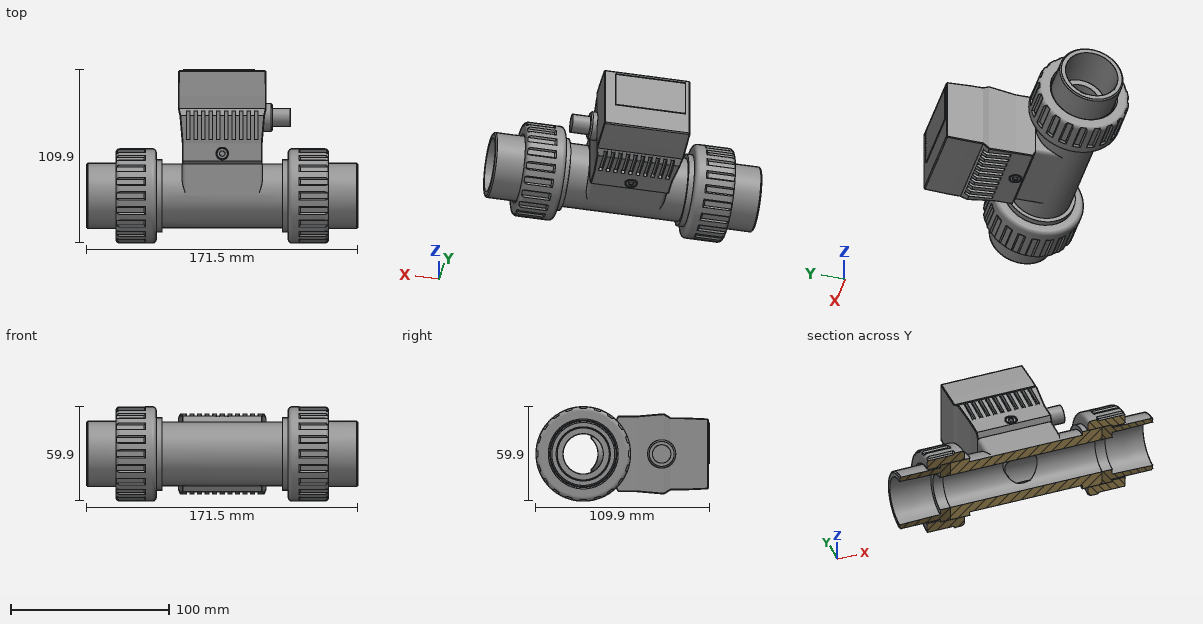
import cadquery as cq


TOTAL_LENGTH = 171.5
BORE_RADIUS = 12.7
PIPE_RADIUS = 20.2
COLLAR_RADIUS = 23.0
COLLAR_START = 38.1
JOINT_PLANE = 51.5

NUT_DIAMETER = 59.9
NUT_RADIUS = NUT_DIAMETER / 2
NUT_INNER_FACE = 41.7
NUT_OUTER_FACE = 67.3
NUT_FILLET = 2.7
NUT_HOLE_RADIUS = 21.3
NUT_HOLE_CHAMFER = 0.9

SPIGOT_RADIUS = 20.8
SPIGOT_CHAMFER = 0.9
SPIGOT_FLANGE_END = 58.3
SOCKET_MOUTH_RADIUS = 17.2
SOCKET_FLOOR_RADIUS = 16.5

GRIP_COUNT = 20
GRIP_INNER_END = 48.4
GRIP_DEPTH = 1.2
GRIP_TOP_WIDTH = 5.5
GRIP_FLOOR_WIDTH = 3.5

SADDLE_HALF_LENGTH = 25.4
SADDLE_TOP = 20.2
SADDLE_FILLET = 2.7
SENSOR_RADIUS = 11.0
SENSOR_TIP = 5.0
SENSOR_HOLLOW_RADIUS = 13.5
SENSOR_HOLLOW_DEPTH = 9.3

HOUSING_BACK = 79.3
HOUSING_CHAMFER = 0.7
HOUSING_EDGE_BREAK = 0.5
NECK_HALF_WIDTH = 25.2
NECK_HALF_HEIGHT = 23.8
SHOULDER_HALF_HEIGHT = 25.4
HOUSING_SECTIONS = [
    (SADDLE_TOP, NECK_HALF_WIDTH, PIPE_RADIUS),
    (22.1, NECK_HALF_WIDTH, NECK_HALF_HEIGHT),
    (33.1, NECK_HALF_WIDTH, NECK_HALF_HEIGHT),
    (51.0, 26.8, SHOULDER_HALF_HEIGHT),
    (55.2, 27.8, 22.8),
    (62.8, 27.8, 22.8),
    (HOUSING_BACK, 27.6, 22.1),
]

VENT_COUNT = 10
VENT_PITCH = 4.8
VENT_WIDTH = 2.2
VENT_START = 35.7
VENT_END = 53.7
VENT_FLOOR = 21.5

SCREW_Y = 26.8
SCREW_RECESS_RADIUS = 4.0
SCREW_HEAD_RADIUS = 3.3
SCREW_SOCKET_RADIUS = 1.7
SCREW_RECESS_DEPTH = 0.9

LABEL_THICKNESS = 0.6
LABEL_X = (-24.5, 20.5)
LABEL_Z = (-6.0, 19.5)

GLAND_Y = 49.6
GLAND_SEAT = 24.0
GLAND_FLANGE_RADIUS = 9.0
GLAND_FLANGE_END = 31.7
GLAND_CHAMFER = 1.0
CABLE_RADIUS = 5.8
CABLE_END = 43.0


def x_cylinder(radius, x_start, x_end, y=0.0):
    """Cylinder along X at the given Y."""
    return cq.Workplane("YZ", origin=(x_start, y, 0)).circle(radius).extrude(x_end - x_start)


def block(x_range, y_range, z_range):
    """Box given by its limits along each axis."""
    size = [high - low for low, high in (x_range, y_range, z_range)]
    corner = (x_range[0], y_range[0], z_range[0])
    return cq.Workplane("XY").box(*size, centered=False).translate(corner)


def make_sensor_tip():
    """Round stub reaching down into the bore, hollowed by a cylinder along X."""
    root_y = (BORE_RADIUS + PIPE_RADIUS) / 2
    tip = cq.Workplane("XZ", origin=(0, root_y, 0)).circle(SENSOR_RADIUS).extrude(root_y - SENSOR_TIP)
    hollow_y = SENSOR_HOLLOW_DEPTH - SENSOR_HOLLOW_RADIUS
    hollow = x_cylinder(SENSOR_HOLLOW_RADIUS, -SENSOR_RADIUS, SENSOR_RADIUS, hollow_y)
    return tip.cut(hollow)


def make_pipe():
    """Pipe with an end collar at each side, the saddle for the housing and the sensor tip."""
    saddle = (
        block(
            (-SADDLE_HALF_LENGTH, SADDLE_HALF_LENGTH),
            (0, SADDLE_TOP),
            (-PIPE_RADIUS, PIPE_RADIUS),
        )
        .edges("|Y")
        .fillet(SADDLE_FILLET)
    )
    pipe = x_cylinder(PIPE_RADIUS, -JOINT_PLANE, JOINT_PLANE).union(saddle)
    for x_start, x_end in ((-JOINT_PLANE, -COLLAR_START), (COLLAR_START, JOINT_PLANE)):
        pipe = pipe.union(x_cylinder(COLLAR_RADIUS, x_start, x_end))
    pipe = pipe.cut(x_cylinder(BORE_RADIUS, -JOINT_PLANE, JOINT_PLANE))
    return pipe.union(make_sensor_tip())


def make_spigot():
    """Spigot at the +X end: flange held by the nut, and a tapered socket open to the outside."""
    end = TOTAL_LENGTH / 2
    return (
        cq.Workplane("XY")
        .moveTo(JOINT_PLANE, BORE_RADIUS)
        .lineTo(JOINT_PLANE, COLLAR_RADIUS)
        .lineTo(SPIGOT_FLANGE_END, COLLAR_RADIUS)
        .lineTo(SPIGOT_FLANGE_END, SPIGOT_RADIUS)
        .lineTo(end - SPIGOT_CHAMFER, SPIGOT_RADIUS)
        .lineTo(end, SPIGOT_RADIUS - SPIGOT_CHAMFER)
        .lineTo(end, SOCKET_MOUTH_RADIUS)
        .lineTo(SPIGOT_FLANGE_END, SOCKET_FLOOR_RADIUS)
        .lineTo(SPIGOT_FLANGE_END, BORE_RADIUS)
        .close()
        .revolve(360, (0, 0, 0), (1, 0, 0))
    )


def make_grip_cutter():
    """Slot with slanted side and end walls, open at the outer face of the nut, on its +Z side."""
    clearance = 0.9
    floor_length = NUT_OUTER_FACE - GRIP_INNER_END
    side_slant = (GRIP_TOP_WIDTH - GRIP_FLOOR_WIDTH) / 2
    top_slant = side_slant * (GRIP_DEPTH + clearance) / GRIP_DEPTH
    return (
        cq.Workplane("XY", origin=(NUT_OUTER_FACE + side_slant, 0, NUT_RADIUS - GRIP_DEPTH))
        .rect(2 * floor_length, GRIP_FLOOR_WIDTH)
        .workplane(offset=GRIP_DEPTH + clearance)
        .rect(2 * (floor_length + top_slant), GRIP_FLOOR_WIDTH + 2 * top_slant)
        .loft(ruled=True)
    )


def make_nut():
    """Union nut at the +X end: clamps the spigot flange against the pipe end."""
    nut = x_cylinder(NUT_RADIUS, NUT_INNER_FACE, NUT_OUTER_FACE).edges().fillet(NUT_FILLET)
    nut = nut.cut(x_cylinder(COLLAR_RADIUS, NUT_INNER_FACE, SPIGOT_FLANGE_END))
    nut = nut.cut(x_cylinder(NUT_HOLE_RADIUS, SPIGOT_FLANGE_END, NUT_OUTER_FACE))
    hole_rim = cq.selectors.RadiusNthSelector(0)
    nut = nut.faces(">X").edges("%CIRCLE").edges(hole_rim).chamfer(NUT_HOLE_CHAMFER)
    cutter = make_grip_cutter()
    for i in range(GRIP_COUNT):
        nut = nut.cut(cutter.rotate((0, 0, 0), (1, 0, 0), i * 360 / GRIP_COUNT))
    return nut


def housing_section(y, half_x, half_z):
    """Rectangle across the housing at the given Y, with its four corners cut off."""
    inner_x = half_x - HOUSING_EDGE_BREAK
    inner_z = half_z - HOUSING_EDGE_BREAK
    corners = []
    for sign_x, sign_z in ((1, 1), (-1, 1), (-1, -1), (1, -1)):
        pair = [
            cq.Vector(sign_x * half_x, y, sign_z * inner_z),
            cq.Vector(sign_x * inner_x, y, sign_z * half_z),
        ]
        corners += pair if sign_x == sign_z else reversed(pair)
    return cq.Wire.makePolygon(corners, close=True)


def make_housing_shell():
    """Housing block: straight walls from each cross-section to the next."""
    sections = [housing_section(*section) for section in HOUSING_SECTIONS]
    shell = cq.Workplane(cq.Solid.makeLoft(sections, ruled=True))
    return shell.faces(">Y").chamfer(HOUSING_CHAMFER)


def make_vents():
    """Row of vent slots cut into the +Z side."""
    vents = cq.Workplane("XY")
    for i in range(VENT_COUNT):
        x = (i - (VENT_COUNT - 1) / 2) * VENT_PITCH
        vents = vents.add(
            block(
                (x - VENT_WIDTH / 2, x + VENT_WIDTH / 2),
                (VENT_START, VENT_END),
                (VENT_FLOOR, SHOULDER_HALF_HEIGHT),
            )
        )
    return vents.combine()


def make_screw_recess():
    """Ring groove around a screw head on the +Z side, with the socket in the head."""
    recess = cq.Workplane("XY", origin=(0, SCREW_Y, NECK_HALF_HEIGHT - SCREW_RECESS_DEPTH))
    ring = recess.circle(SCREW_RECESS_RADIUS).circle(SCREW_HEAD_RADIUS).extrude(SCREW_RECESS_DEPTH)
    return ring.union(recess.circle(SCREW_SOCKET_RADIUS).extrude(SCREW_RECESS_DEPTH))


def make_gland():
    """Cable gland on the +X side: a flange seated in the housing and the cable stub."""
    flange = x_cylinder(GLAND_FLANGE_RADIUS, GLAND_SEAT, GLAND_FLANGE_END, GLAND_Y)
    flange = flange.faces(">X").chamfer(GLAND_CHAMFER)
    return flange.union(x_cylinder(CABLE_RADIUS, GLAND_SEAT, CABLE_END, GLAND_Y))


def make_housing():
    """Sensor housing with vents and screws on both Z sides, a label plate and the gland seat."""
    housing = make_housing_shell()
    for cutter in (make_vents(), make_screw_recess()):
        housing = housing.cut(cutter).cut(cutter.mirror("XY"))
    housing = housing.union(block(LABEL_X, (HOUSING_BACK, HOUSING_BACK + LABEL_THICKNESS), LABEL_Z))
    return housing.cut(x_cylinder(GLAND_FLANGE_RADIUS, GLAND_SEAT, GLAND_FLANGE_END, GLAND_Y))


def at_both_ends(part):
    """The part and its mirror image at the other end of the pipe."""
    return [part.val(), part.mirror("YZ").val()]


pipe = make_pipe()
spigots = at_both_ends(make_spigot())
nuts = at_both_ends(make_nut())
housing = make_housing()
gland = make_gland()

result = cq.Compound.makeCompound([pipe.val(), *spigots, *nuts, housing.val(), gland.val()])